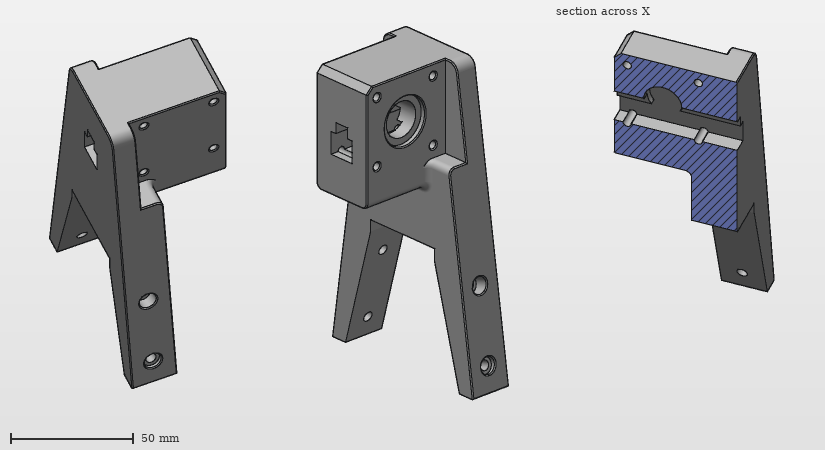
import cadquery as cq
import math

HEIGHT = 140.66
FOOT_SPAN = 85.0
LEG_DEPTH = 20.0
BODY_BACK = 53.65
EDGE_CHAMFER = 0.5
EDGE_FILLET = 3.0
TOLERANCE = 0.01

SIDE_LEAN = 8.35
TOP_CORNER_RADIUS = 5.0
CROTCH_HALF_WIDTH = 19.2
CROTCH_TOP = 60.0
CROTCH_STRAIGHT_END = 54.5
FOOT_INNER_HALF_WIDTH = 34.2

BODY_WIDTH = 30.5
BODY_BOTTOM = 86.0
BODY_BACK_CHAMFER = 3.0
MOTOR_SIZE = 42.3
MOTOR_BOLT_PITCH = 31.0
MOTOR_BOLT_DIAMETER = 3.5
MOTOR_CLEARANCE = 1.0
PILOT_DIAMETER = 22.25
PILOT_DEPTH = 2.5
BORE_DIAMETER = 16.25

WINDOW_WIDTH = 12.65
WINDOW_BOTTOM = 104.1
WINDOW_SHOULDER = 114.3
WINDOW_NECK_WIDTH = 6.9
WINDOW_TOP = 119.2

SCREW_HEIGHTS = (9.3, 42.3)
SCREW_Y = 10.0
SCREW_DIAMETER = 4.5
SCREW_HEAD_DIAMETER = 7.5
SCREW_SEAT_THICKNESS = 7.0
SCREW_MOUTH_REACH = 9.0

motor_y = BODY_BACK - MOTOR_SIZE / 2
motor_z = HEIGHT - MOTOR_SIZE / 2
notch_y = motor_y - MOTOR_SIZE / 2 - MOTOR_CLEARANCE
notch_z = motor_z - MOTOR_SIZE / 2
body_half = BODY_WIDTH / 2
foot_half = FOOT_SPAN / 2
side_slope = math.tan(math.radians(SIDE_LEAN))
top_half = foot_half - HEIGHT * side_slope


def frame_outline():
    """Closed A-frame profile without its rounded top corners."""
    right = [
        (top_half, HEIGHT),
        (foot_half, 0),
        (FOOT_INNER_HALF_WIDTH, 0),
        (CROTCH_HALF_WIDTH, CROTCH_STRAIGHT_END),
        (CROTCH_HALF_WIDTH, CROTCH_TOP),
    ]
    left = [(-x, z) for x, z in reversed(right)]
    return cq.Workplane("XZ").polyline(right + left).close()


def block(x_min, x_max, y_min, y_max, z_min, z_max):
    size = (x_max - x_min, y_max - y_min, z_max - z_min)
    return cq.Workplane().box(*size, centered=False).translate((x_min, y_min, z_min))


def cylinder_x(diameter, x_start, length, y, z):
    start = cq.Vector(x_start, y, z)
    return cq.Workplane(cq.Solid.makeCylinder(diameter / 2, length, start, cq.Vector(1, 0, 0)))


def countersink_x(diameter, x_face, inward, y, z):
    """Chamfer cutter for a hole of the given diameter in a face square to X."""
    cone = cq.Solid.makeCone(
        diameter / 2 + EDGE_CHAMFER, diameter / 2, EDGE_CHAMFER,
        cq.Vector(x_face, y, z), cq.Vector(inward, 0, 0),
    )
    return cq.Workplane(cone)


def edges_in(part, x, y, z):
    """Edges whose centres lie in the box given by (min, max) pairs."""
    low, high = zip(x, y, z)
    return part.edges(cq.selectors.BoxSelector(low, high))


def make_frame():
    """Tapered plate with two legs, stepped back above the notch floor."""
    frame = frame_outline().extrude(-LEG_DEPTH)
    notch = block(-foot_half, foot_half, notch_y, LEG_DEPTH, notch_z, HEIGHT)
    frame = frame.cut(notch)
    top_edges = edges_in(frame, (-foot_half, foot_half), (-1, notch_y + 1), (HEIGHT - 1, HEIGHT + 1))
    return top_edges.edges("|Y").fillet(TOP_CORNER_RADIUS)


def make_body():
    """Motor block, starting inside the front plate so that the two overlap."""
    body = block(-body_half, body_half, notch_y / 2, BODY_BACK, BODY_BOTTOM, HEIGHT)
    body = body.edges("|Y and <Z").fillet(EDGE_FILLET)
    body = body.edges(">Y and >Z").chamfer(BODY_BACK_CHAMFER)
    back_rim = body.faces(">Y").edges("|Z")
    top_rim = body.faces(">Z").edges("|Y")
    slope = body.faces(cq.selectors.DirectionSelector(cq.Vector(0, 1, 1), 0.001))
    slope_rim = slope.edges("not |X")
    rims = back_rim.vals() + top_rim.vals() + slope_rim.vals()
    return body.newObject(rims).chamfer(EDGE_CHAMFER)


def blend_body(part):
    """Fillet the body into the back of the frame, then round the back of the notch floor."""
    back_plane = (LEG_DEPTH - TOLERANCE, LEG_DEPTH + TOLERANCE)
    body_sides = (-body_half - TOLERANCE, body_half + TOLERANCE)
    part = edges_in(part, body_sides, back_plane, (BODY_BOTTOM - 1, notch_z - 1)).fillet(EDGE_FILLET)
    floor_back = (LEG_DEPTH - TOLERANCE, LEG_DEPTH + EDGE_FILLET)
    floor_plane = (notch_z - TOLERANCE, notch_z + TOLERANCE)
    for side in (-1, 1):
        beside_body = sorted((side * (body_half + TOLERANCE), side * foot_half))
        part = edges_in(part, beside_body, floor_back, floor_plane).fillet(EDGE_FILLET)
    return part


def outer_leg_face(part, side):
    lean = math.radians(SIDE_LEAN)
    normal = cq.Vector(side * math.cos(lean), 0, math.sin(lean))
    return part.faces(cq.selectors.DirectionSelector(normal, 0.001))


def chamfer_frame(part):
    """Break the rims of both outer leg faces; the front rim runs on over the top."""
    rims = outer_leg_face(part, -1).edges().vals() + outer_leg_face(part, 1).edges().vals()
    return part.newObject(rims).chamfer(EDGE_CHAMFER)


def cut_window(part):
    half = WINDOW_WIDTH / 2
    neck = WINDOW_NECK_WIDTH / 2
    lower = block(-half, half, 0, BODY_BACK, WINDOW_BOTTOM, WINDOW_SHOULDER)
    upper = block(-neck, neck, 0, BODY_BACK, WINDOW_BOTTOM, WINDOW_TOP)
    return part.cut(lower).cut(upper)


def cut_motor_mount(part):
    """Pilot recess and blind bore on the -X side, with four bolt holes right through."""
    part = part.cut(cylinder_x(PILOT_DIAMETER, -body_half, PILOT_DEPTH, motor_y, motor_z))
    part = part.cut(countersink_x(PILOT_DIAMETER, -body_half, 1, motor_y, motor_z))
    bore_length = body_half + WINDOW_WIDTH / 2
    part = part.cut(cylinder_x(BORE_DIAMETER, -body_half, bore_length, motor_y, motor_z))
    for side_y in (-1, 1):
        for side_z in (-1, 1):
            y = motor_y + side_y * MOTOR_BOLT_PITCH / 2
            z = motor_z + side_z * MOTOR_BOLT_PITCH / 2
            part = part.cut(cylinder_x(MOTOR_BOLT_DIAMETER, -body_half, BODY_WIDTH, y, z))
            for face in (-1, 1):
                part = part.cut(countersink_x(MOTOR_BOLT_DIAMETER, face * body_half, -face, y, z))
    return part


def cut_leg_screws(part):
    """Counterbored holes through both legs, running square to the inner leg faces."""
    lean = math.atan2(FOOT_INNER_HALF_WIDTH - CROTCH_HALF_WIDTH, CROTCH_STRAIGHT_END)
    for side in (-1, 1):
        outward = cq.Vector(side * math.cos(lean), 0, math.sin(lean))
        for z in SCREW_HEIGHTS:
            inner_x = FOOT_INNER_HALF_WIDTH - z * math.tan(lean)
            inner_end = cq.Vector(side * inner_x, SCREW_Y, z)
            seat = inner_end + outward * SCREW_SEAT_THICKNESS
            shank = cq.Solid.makeCylinder(SCREW_DIAMETER / 2, 2 * LEG_DEPTH, inner_end - outward, outward)
            head = cq.Solid.makeCylinder(SCREW_HEAD_DIAMETER / 2, LEG_DEPTH, seat, outward)
            part = part.cut(cq.Workplane(shank)).cut(cq.Workplane(head))
            mouth_z = z + SCREW_MOUTH_REACH * math.tan(lean)
            mouth_x = side * (foot_half - mouth_z * side_slope)
            mouth = cq.selectors.NearestToPointSelector((mouth_x, SCREW_Y, mouth_z))
            part = part.edges("%ELLIPSE").edges(mouth).chamfer(EDGE_CHAMFER)
    return part


result = blend_body(make_frame().union(make_body()))
result = chamfer_frame(result)
result = cut_window(result)
result = cut_motor_mount(result)
result = cut_leg_screws(result)